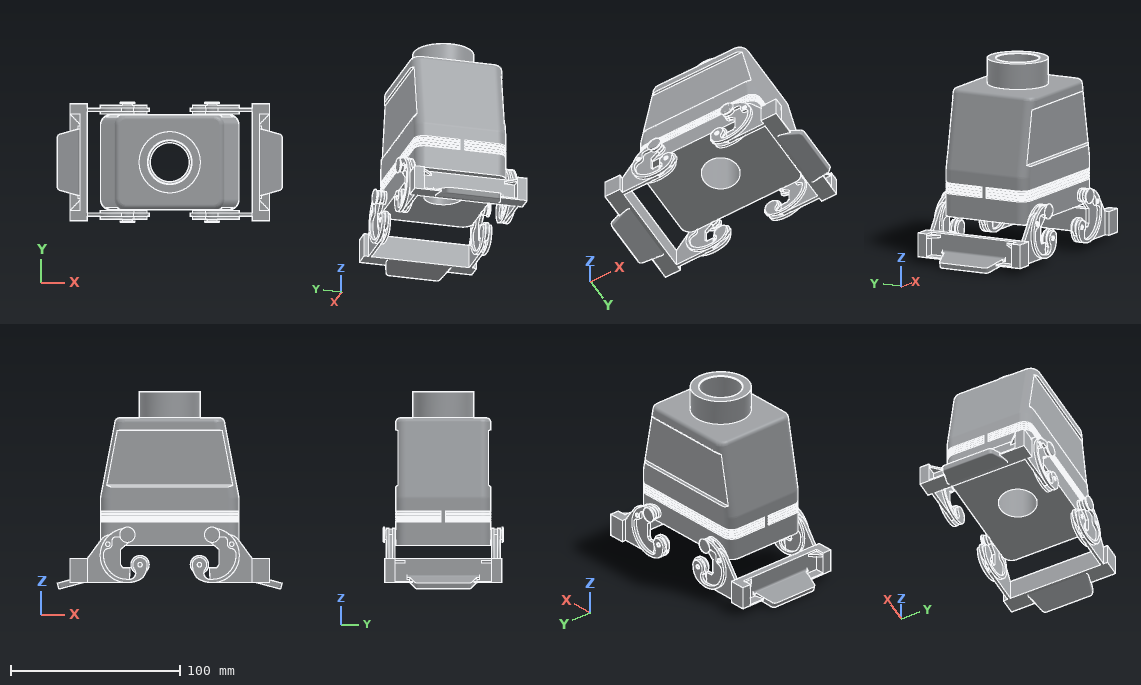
import cadquery as cq
import math

HOOD_HALF_X = 41.0
HOOD_HALF_Y = 28.2
HOOD_BOTTOM = 25.7
HOOD_TOP = 101.3
TAPER_START = 54.0
HOOD_TOP_HALF_X = 32.0
CORNER_RADIUS = 6.1
TOP_RADIUS = 3.0
BEND_RADIUS = 6.7

RECESS_FACE_Y = 26.9
RECESS_BOTTOM = 60.3
RECESS_TOP = 93.5
RECESS_BEVEL = 1.0

GROOVE_COUNT = 4
GROOVE_LOWEST = 40.2
GROOVE_PITCH = 1.7
GROOVE_WIDTH = 1.3
GROOVE_DEPTH = 0.4
GROOVE_GAP = 2.9

ENTRY_TOP = 116.7
ENTRY_RADIUS = 18.1
BORE_RADIUS = 12.8
BORE_CHAMFER = 0.4
BORE_DEPTH = 14.6
THROUGH_RADIUS = 11.5

OVERALL_HALF_X = 66.5
BAR_OUTER_X = 59.1
BAR_INNER_X = 48.7
BAR_HALF_Y = 34.6
BAR_BOTTOM = 3.7
BAR_TOP = 18.1
POCKET_BACK_X = 53.1
POCKET_HALF_Y = 28.6
POCKET_FLOOR = 0.8
GUSSET_SIDE = 6.1
GUSSET_DROP = 1.2
GUSSET_THICKNESS = 1.5

TAB_ANGLE = 15.0
TAB_THICKNESS = 3.7
TAB_ROOT_HALF_Y = 20.0
TAB_SIDE_ANGLE = 15.0
TAB_CORNER_RADIUS = 2.4
TAB_EMBED = 3.2
TAB_FILLET = 1.5
TAB_FILLET_HALF_Y = 21.3
TAB_EDGE_ROUND = 0.7

CHEEK_INNER_Y = 28.5
PLATE_INNER_Y = 30.0
PLATE_OUTER_Y = 32.0
CHEEK_OUTER_Y = 33.8
PIVOT_X = -25.0
PIVOT_Z = 32.1
CHEEK_RADIUS = 16.1
CHEEK_INNER_RADIUS = 14.1
CHEEK_CENTRE_Z = BAR_BOTTOM + CHEEK_RADIUS
PIVOT_END_RADIUS = CHEEK_CENTRE_Z + CHEEK_RADIUS - PIVOT_Z
SPACER_RADIUS = 3.5
NECK_DROP = 1.3
NECK_BEND_RADIUS = 2.1
HOOK_X = -17.5
HOOK_Z = 14.4
HOOK_RADIUS = 4.3
HOOK_BACK = (-14.4, 9.2)
HOOK_HOLLOW = (-20.2, 8.9)
RIM_START_X = -23.4
RIM_TO_BOSS = (-38.5, 22.8)
ROLLER_RADIUS = 5.5
RIVET_X = -36.6
RIVET_Z = 26.5
RIVET_BOSS_RADIUS = 2.5
RIVET_HOLE_RADIUS = 1.3
RIVET_HOLE_DEPTH = 0.7

SHOULDER_START = (-41.0, 28.6)
SHOULDER_MIDDLE = (-38.0, 31.3)
SHOULDER_END = (-34.7, 32.2)
PLATE_HEAD_TOP = (-26.5, 31.1)
PLATE_HEAD_BOTTOM = (-24.2, 27.5)
THROAT_X = -29.0
THROAT_TOP = 23.3
THROAT_BOTTOM = 14.5
LIP_Z = 12.6
LIP_CORNER_X = -27.8
LIP_END_X = -23.4
LIP_END_BOTTOM = 10.2
PLATE_FOOT_X = -24.0

PIN_RADIUS = 2.9
PIN_EMBED = 1.3
HEAD_RADIUS = 4.5
HEAD_INNER_Y = 34.7
HEAD_OUTER_Y = 35.5
HEAD_ROUND = 0.7


def slab(sketch, y_inner, y_outer):
    """Extrude an XZ outline between two distances on the -Y side."""
    return sketch.extrude(y_outer - y_inner).translate((0, -y_inner, 0))


def disc(x, z, radius, y_inner, y_outer):
    return slab(cq.Workplane("XZ").center(x, z).circle(radius), y_inner, y_outer)


def on_circle(x, z, radius, degrees):
    angle = math.radians(degrees)
    return (x + radius * math.cos(angle), z + radius * math.sin(angle))


def make_hood():
    lean = math.atan2(HOOD_HALF_X - HOOD_TOP_HALF_X, HOOD_TOP - TAPER_START)
    tangent = BEND_RADIUS * math.tan(lean / 2)
    upright_end = (HOOD_HALF_X, TAPER_START - tangent)
    lean_start = (HOOD_HALF_X - tangent * math.sin(lean), TAPER_START + tangent * math.cos(lean))
    half = (
        cq.Workplane("XZ")
        .moveTo(0, HOOD_BOTTOM)
        .lineTo(HOOD_HALF_X, HOOD_BOTTOM)
        .lineTo(*upright_end)
        .tangentArcPoint(lean_start, relative=False)
        .lineTo(HOOD_TOP_HALF_X, HOOD_TOP)
        .lineTo(0, HOOD_TOP)
        .close()
        .extrude(HOOD_HALF_Y, both=True)
    )
    body = half.union(half.mirror("YZ"))
    side_edges = body.faces("<Y or >Y").edges("not(<Z or >Z)")
    body = side_edges.fillet(CORNER_RADIUS)
    return body.faces(">Z").edges().fillet(TOP_RADIUS)


def make_recess():
    """Cutter for the recess in the -Y face."""
    reach = HOOD_HALF_Y - RECESS_FACE_Y
    return (
        cq.Workplane("YZ")
        .moveTo(-RECESS_FACE_Y, RECESS_BOTTOM + RECESS_BEVEL)
        .lineTo(-RECESS_FACE_Y, RECESS_TOP)
        .lineTo(-RECESS_FACE_Y - reach, RECESS_TOP + RECESS_BEVEL / 2)
        .lineTo(-RECESS_FACE_Y - reach, RECESS_BOTTOM)
        .close()
        .extrude(HOOD_HALF_X, both=True)
    )


def make_grooves():
    """Cutter for the parallel V-grooves, interrupted in the middle of the end walls."""
    length = 2 * HOOD_HALF_X
    width = 2 * HOOD_HALF_Y
    half_groove = GROOVE_WIDTH / 2
    flank_angle = math.degrees(math.atan2(GROOVE_DEPTH, half_groove))
    waist = (
        cq.Workplane("XY")
        .sketch()
        .rect(length, width)
        .vertices()
        .fillet(CORNER_RADIUS)
        .finalize()
        .extrude(half_groove, taper=flank_angle)
    )
    core = waist.union(waist.mirror("XY", (0, 0, half_groove)))
    bridge = cq.Workplane("XY").rect(length, GROOVE_GAP).extrude(GROOVE_WIDTH)
    band = cq.Workplane("XY").rect(length, width).extrude(GROOVE_WIDTH).cut(core).cut(bridge)
    cutter = cq.Workplane("XY")
    for index in range(GROOVE_COUNT):
        z = GROOVE_LOWEST + index * GROOVE_PITCH - half_groove
        cutter = cutter.add(band.translate((0, 0, z)))
    return cutter.combine()


def make_bore():
    """Stepped bore through the entry and the hood, with a conical shoulder."""
    shoulder = ENTRY_TOP - BORE_DEPTH
    step = BORE_RADIUS - THROUGH_RADIUS
    return (
        cq.Workplane("XZ")
        .moveTo(0, HOOD_BOTTOM)
        .lineTo(THROUGH_RADIUS, HOOD_BOTTOM)
        .lineTo(THROUGH_RADIUS, shoulder - step)
        .lineTo(BORE_RADIUS, shoulder)
        .lineTo(BORE_RADIUS, ENTRY_TOP - BORE_CHAMFER)
        .lineTo(BORE_RADIUS + BORE_CHAMFER, ENTRY_TOP)
        .lineTo(0, ENTRY_TOP)
        .close()
        .revolve(360, (0, 0, 0), (0, 1, 0))
    )


def make_bar():
    """Cross bar of the -X lever, pocketed from its outer face and top."""
    bar = cq.Workplane("XY").box(
        BAR_OUTER_X - BAR_INNER_X, 2 * BAR_HALF_Y, BAR_TOP - BAR_BOTTOM, centered=(False, True, False)
    ).translate((-BAR_OUTER_X, 0, BAR_BOTTOM))
    pocket = cq.Workplane("XY").box(
        BAR_OUTER_X - POCKET_BACK_X, 2 * POCKET_HALF_Y, BAR_TOP - BAR_BOTTOM, centered=(False, True, False)
    ).translate((-BAR_OUTER_X, 0, BAR_BOTTOM + POCKET_FLOOR))
    gusset = (
        cq.Workplane("XY", origin=(0, 0, BAR_TOP - GUSSET_DROP))
        .moveTo(-POCKET_BACK_X, -POCKET_HALF_Y)
        .lineTo(-BAR_OUTER_X, -POCKET_HALF_Y)
        .lineTo(-POCKET_BACK_X, -POCKET_HALF_Y + GUSSET_SIDE)
        .close()
        .extrude(-GUSSET_THICKNESS)
    )
    return bar.cut(pocket).union(gusset).union(gusset.mirror("XZ"))


def make_tab():
    """Handle tab sloping down and outward from the pocket wall of the -X lever."""
    tilt = math.radians(TAB_ANGLE)
    run = OVERALL_HALF_X - POCKET_BACK_X
    length = run / math.cos(tilt)
    flare = math.tan(math.radians(TAB_SIDE_ANGLE))
    rounding_loss = TAB_EDGE_ROUND * (math.cos(tilt) + math.sin(tilt) - 1)
    root_z = TAB_THICKNESS * math.cos(tilt) + run * math.tan(tilt) - rounding_loss
    tip_half_y = TAB_ROOT_HALF_Y - length * flare
    outline = [
        (TAB_EMBED, -TAB_ROOT_HALF_Y),
        (0, -TAB_ROOT_HALF_Y),
        (-length, -tip_half_y),
        (-length, tip_half_y),
        (0, TAB_ROOT_HALF_Y),
        (TAB_EMBED, TAB_ROOT_HALF_Y),
    ]
    tab = cq.Workplane("XY").polyline(outline).close().extrude(-TAB_THICKNESS)
    tab = tab.edges("|Z and <X").fillet(TAB_CORNER_RADIUS)
    tab = tab.faces("<Z").edges("not >X").fillet(TAB_EDGE_ROUND)
    tab = tab.rotate((0, 0, 0), (0, 1, 0), -TAB_ANGLE).translate((-POCKET_BACK_X, 0, root_z))
    tangent = TAB_FILLET / math.tan(math.radians(90 + TAB_ANGLE) / 2)
    blend = (
        cq.Workplane("XZ")
        .moveTo(-POCKET_BACK_X, root_z - TAB_FILLET)
        .lineTo(-POCKET_BACK_X, root_z + tangent)
        .radiusArc(
            (-POCKET_BACK_X - tangent * math.cos(tilt), root_z - tangent * math.sin(tilt)), TAB_FILLET
        )
        .close()
        .extrude(TAB_FILLET_HALF_Y, both=True)
    )
    return tab.union(blend)


def make_plate():
    """Middle plate of the arm, reaching from the cross bar to the pivot."""
    sketch = (
        cq.Workplane("XZ")
        .moveTo(-BAR_INNER_X, BAR_BOTTOM)
        .lineTo(-BAR_INNER_X, BAR_TOP)
        .lineTo(*SHOULDER_START)
        .threePointArc(SHOULDER_MIDDLE, SHOULDER_END)
        .lineTo(*PLATE_HEAD_TOP)
        .lineTo(*PLATE_HEAD_BOTTOM)
        .lineTo(THROAT_X, THROAT_TOP)
        .lineTo(THROAT_X, THROAT_BOTTOM)
        .lineTo(LIP_CORNER_X, LIP_Z)
        .lineTo(LIP_END_X, LIP_Z)
        .lineTo(LIP_END_X, LIP_END_BOTTOM)
        .lineTo(PLATE_FOOT_X, BAR_BOTTOM)
        .close()
    )
    return slab(sketch, PLATE_INNER_Y, PLATE_OUTER_Y)


def make_cheek(y_inner, y_outer):
    """C-shaped cheek curling from the pivot around to the hook."""
    rim_bottom = CHEEK_CENTRE_Z - CHEEK_INNER_RADIUS
    neck_z = PIVOT_Z - NECK_DROP
    neck_x = PIVOT_X - math.sqrt(PIVOT_END_RADIUS**2 - NECK_DROP**2)
    boss_side = RIVET_X + RIVET_BOSS_RADIUS
    sketch = (
        cq.Workplane("XZ")
        .moveTo(PIVOT_X, PIVOT_Z + PIVOT_END_RADIUS)
        .threePointArc(
            (PIVOT_X - CHEEK_RADIUS, CHEEK_CENTRE_Z),
            on_circle(PIVOT_X, CHEEK_CENTRE_Z, CHEEK_RADIUS, -62),
        )
        .threePointArc(HOOK_BACK, on_circle(HOOK_X, HOOK_Z, HOOK_RADIUS, -20))
        .threePointArc(
            on_circle(HOOK_X, HOOK_Z, HOOK_RADIUS, 100),
            on_circle(HOOK_X, HOOK_Z, HOOK_RADIUS, 220),
        )
        .threePointArc(HOOK_HOLLOW, (RIM_START_X, rim_bottom))
        .lineTo(PIVOT_X, rim_bottom)
        .threePointArc(
            on_circle(PIVOT_X, CHEEK_CENTRE_Z, CHEEK_INNER_RADIUS, 225),
            (PIVOT_X - CHEEK_INNER_RADIUS, CHEEK_CENTRE_Z),
        )
        .threePointArc(RIM_TO_BOSS, (RIVET_X, RIVET_Z - RIVET_BOSS_RADIUS))
        .threePointArc(
            on_circle(RIVET_X, RIVET_Z, RIVET_BOSS_RADIUS, -45),
            (boss_side, RIVET_Z),
        )
        .lineTo(boss_side, neck_z - NECK_BEND_RADIUS)
        .tangentArcPoint((boss_side + NECK_BEND_RADIUS, neck_z), relative=False)
        .lineTo(neck_x, neck_z)
        .threePointArc(
            on_circle(PIVOT_X, PIVOT_Z, PIVOT_END_RADIUS, -45),
            (PIVOT_X, PIVOT_Z + PIVOT_END_RADIUS),
        )
        .close()
    )
    return slab(sketch, y_inner, y_outer)


def make_arm():
    """Side arm of the -X lever at -Y, with its pivot pin, spacer and hook roller."""
    arm = make_plate()
    arm = arm.union(make_cheek(CHEEK_INNER_Y, PLATE_INNER_Y))
    arm = arm.union(make_cheek(PLATE_OUTER_Y, CHEEK_OUTER_Y))
    arm = arm.union(disc(PIVOT_X, PIVOT_Z, SPACER_RADIUS, PLATE_INNER_Y, PLATE_OUTER_Y))
    arm = arm.union(disc(HOOK_X, HOOK_Z, ROLLER_RADIUS, PLATE_INNER_Y, PLATE_OUTER_Y))
    for x, z in [(RIVET_X, RIVET_Z), (HOOK_X, HOOK_Z)]:
        hole = disc(x, z, RIVET_HOLE_RADIUS, CHEEK_OUTER_Y - RIVET_HOLE_DEPTH, CHEEK_OUTER_Y)
        arm = arm.cut(hole)
    head = disc(PIVOT_X, PIVOT_Z, HEAD_RADIUS, HEAD_INNER_Y, HEAD_OUTER_Y)
    head = head.faces("<Y").edges().fillet(HEAD_ROUND)
    pin = disc(PIVOT_X, PIVOT_Z, PIN_RADIUS, HOOD_HALF_Y - PIN_EMBED, HEAD_INNER_Y)
    return arm.union(pin).union(head)


hood = make_hood()
recess = make_recess()
hood = hood.cut(recess).cut(recess.mirror("XZ")).cut(make_grooves())
entry = cq.Workplane("XY", origin=(0, 0, HOOD_TOP)).circle(ENTRY_RADIUS).extrude(ENTRY_TOP - HOOD_TOP)
hood = hood.union(entry).cut(make_bore())

arm = make_arm()
lever = make_bar().union(make_tab()).union(arm).union(arm.mirror("XZ"))

result = hood.union(lever).union(lever.mirror("YZ"))